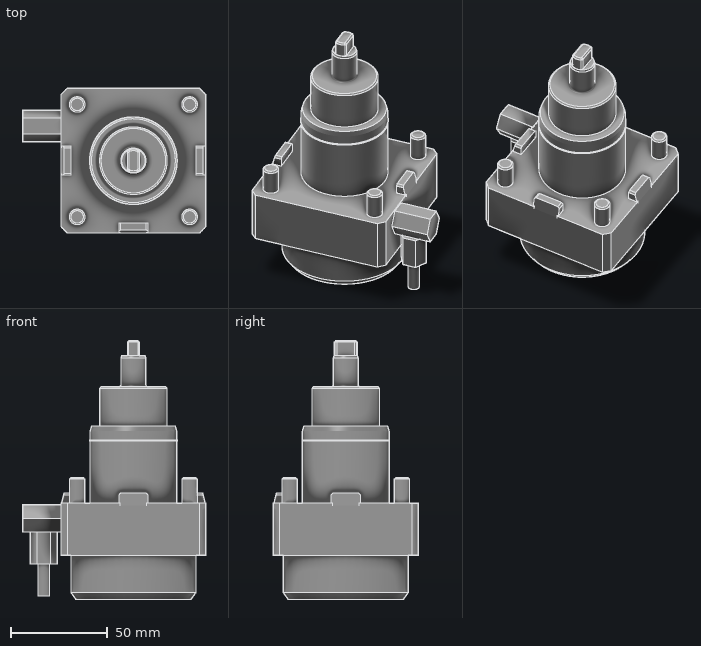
import cadquery as cq
import math

total_height = 134.0
block_bottom = 22.9
block_top = 50.0
ring_bottom = 82.0
ring_top = 82.5
collar_chamfer_bottom = 87.1
collar_top = 89.9
neck_top = 110.1
shaft_top = 126.2

base_diameter = 64.9
barrel_diameter = 45.0
ring_diameter = 45.4
neck_diameter = 35.0
shaft_diameter = 13.0
tang_diameter = 12.0

base_chamfer_width = 2.7
base_chamfer_height = 3.8
collar_chamfer_width = 0.8
neck_chamfer = 0.8
shaft_root_radius = 1.1
shaft_chamfer_width = 0.4
shaft_chamfer_height = 1.2

tang_thickness = 6.2
tang_corner_chamfer = 0.7
tang_top_chamfer = 0.8

block_side = 75.0
block_corner_chamfer = 3.4

pin_diameter = 8.0
pin_pitch = 58.2
pin_top = 63.1
pin_chamfer = 0.8

tab_root_width = 13.7
tab_width = 15.0
tab_depth = 5.2
tab_top = 55.2
tab_bottom = 48.6
tab_slope_inset = 1.6
tab_chamfer = 1.0

gland_length = 19.8
gland_across_flats = 14.2
gland_y = 18.0
gland_z = 42.1
fitting_across_flats = 12.2
fitting_x = -46.4
fitting_bottom = 18.4
cable_diameter = 6.0
cable_bottom = 1.9


def turned_body():
    """Base, barrel, collar, neck and shaft revolved as one profile about Z."""
    base_r = base_diameter / 2
    barrel_r = barrel_diameter / 2
    ring_r = ring_diameter / 2
    neck_r = neck_diameter / 2
    shaft_r = shaft_diameter / 2
    root_mid = shaft_root_radius * (1 - math.sqrt(0.5))
    return (
        cq.Workplane("XZ")
        .lineTo(base_r - base_chamfer_width, 0)
        .lineTo(base_r, base_chamfer_height)
        .lineTo(base_r, block_bottom)
        .lineTo(barrel_r, block_bottom)
        .lineTo(barrel_r, ring_bottom)
        .lineTo(ring_r, ring_bottom)
        .lineTo(ring_r, ring_top)
        .lineTo(barrel_r, ring_top)
        .lineTo(barrel_r, collar_chamfer_bottom)
        .lineTo(barrel_r - collar_chamfer_width, collar_top)
        .lineTo(neck_r, collar_top)
        .lineTo(neck_r, neck_top - neck_chamfer)
        .lineTo(neck_r - neck_chamfer, neck_top)
        .lineTo(shaft_r + shaft_root_radius, neck_top)
        .threePointArc(
            (shaft_r + root_mid, neck_top + root_mid),
            (shaft_r, neck_top + shaft_root_radius),
        )
        .lineTo(shaft_r, shaft_top - shaft_chamfer_height)
        .lineTo(shaft_r - shaft_chamfer_width, shaft_top)
        .lineTo(0, shaft_top)
        .close()
        .revolve(360, (0, 0, 0), (0, 1, 0))
    )


def drive_tang():
    """Round stub with two flats facing +X and -X."""
    height = total_height - shaft_top
    flats = cq.Workplane("XY").box(
        tang_thickness, tang_diameter, height, centered=(True, True, False)
    )
    stub = cq.Workplane("XY").circle(tang_diameter / 2).extrude(height).intersect(flats)
    stub = stub.edges("|Z").chamfer(tang_corner_chamfer)
    stub = stub.faces(">Z").chamfer(tang_top_chamfer)
    return stub.translate((0, 0, shaft_top))


def housing_block():
    return (
        cq.Workplane("XY")
        .workplane(offset=block_bottom)
        .rect(block_side, block_side)
        .extrude(block_top - block_bottom)
        .edges("|Z")
        .chamfer(block_corner_chamfer)
    )


def mounting_pins():
    return (
        cq.Workplane("XY")
        .workplane(offset=block_top)
        .rect(pin_pitch, pin_pitch, forConstruction=True)
        .vertices()
        .circle(pin_diameter / 2)
        .extrude(pin_top - block_top)
        .faces(">Z")
        .chamfer(pin_chamfer)
    )


def tab_outer_line():
    """End points (distance from the axis, height) of the sloping tab face."""
    outer = block_side / 2
    return (outer, tab_bottom), (outer - tab_slope_inset, tab_top)


def locating_tab():
    """Tab on the +X edge, standing on the block."""
    inner = block_side / 2 - tab_depth
    lower, upper = tab_outer_line()
    tab = (
        cq.Workplane("XZ")
        .polyline([(inner, tab_bottom), lower, upper, (inner, tab_top)])
        .close()
        .extrude(tab_width / 2, both=True)
    )
    return tab.faces(">Z").edges("|X").chamfer(tab_chamfer)


def tab_notch():
    """Sliver removed from the +X edge so the sloping face runs into the block side."""
    lower, upper = tab_outer_line()
    return (
        cq.Workplane("XZ")
        .polyline([lower, upper, (lower[0], tab_top)])
        .close()
        .extrude(tab_root_width / 2, both=True)
    )


def hexagon(plane, across_flats, length):
    return cq.Workplane(plane).polygon(6, across_flats / math.cos(math.pi / 6)).extrude(length)


def cable_gland():
    side_x = -block_side / 2
    gland = hexagon("YZ", gland_across_flats, -gland_length)
    gland = gland.translate((side_x, gland_y, gland_z))

    fitting_top = gland_z - gland_across_flats / 2
    fitting = hexagon("XY", fitting_across_flats, fitting_top - fitting_bottom)
    fitting = fitting.translate((fitting_x, gland_y, fitting_bottom))

    cable = cq.Workplane("XY").circle(cable_diameter / 2).extrude(fitting_bottom - cable_bottom)
    cable = cable.translate((fitting_x, gland_y, cable_bottom))
    return gland.union(fitting).union(cable)


result = housing_block()
for angle in (0, 180, 270):
    axis_start, axis_end = (0, 0, 0), (0, 0, 1)
    result = result.cut(tab_notch().rotate(axis_start, axis_end, angle))
    result = result.union(locating_tab().rotate(axis_start, axis_end, angle))

result = result.union(turned_body())
result = result.union(drive_tang())
result = result.union(mounting_pins())
result = result.union(cable_gland())